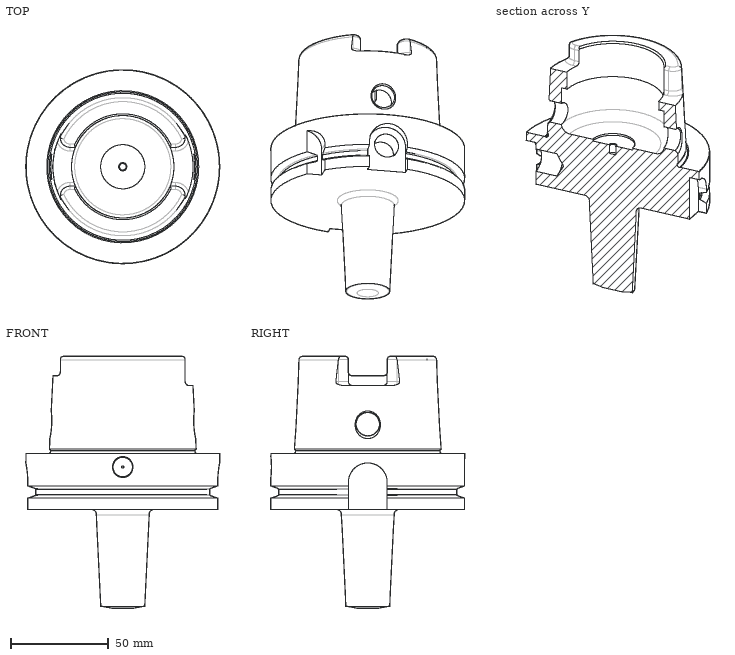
import cadquery as cq
import math


FLANGE_RADIUS = 50.0
FLANGE_THICKNESS = 29.0
FLANGE_CHAMFER = 0.2
GROOVE_RADIUS = 46.0
GROOVE_MID_Z = -20.0
GROOVE_MOUTH_WIDTH = 6.3
GROOVE_FLOOR_WIDTH = 3.4
GROOVE_FILLET = 0.7

TAPER_LENGTH = 50.0
TAPER_BASE_RADIUS = 38.0
TAPER_SLOPE = 0.05
TAPER_START_Z = 2.2
RIM_FILLET = 2.0

RELIEF_RADIUS = 37.3
RELIEF_OUTER_RADIUS = 39.2
RELIEF_DEPTH = 0.3
RELIEF_ROUND = 1.3
RELIEF_TOP_Z = 1.5

CROSS_HOLE_RADIUS = 6.0
CROSS_HOLE_Z = 15.0
CROSS_HOLE_SINK = 1.1

BORE_RADIUS = 26.4
BORE_CHAMFER = 0.9
UNDERCUT_RADIUS = 29.5
UNDERCUT_TOP_Z = 30.0
BORE_FLOOR_Z = 4.7
BORE_FLOOR_FILLET = 4.7
FLOOR_RECESS_RADIUS = 11.4
FLOOR_RECESS_DEPTH = 1.0
CENTRE_HOLE_RADIUS = 1.7
CENTRE_HOLE_CHAMFER = 0.4
CENTRE_HOLE_DEPTH = 5.0

SLOT_WIDTH = 20.0
SLOT_DEPTH_MINUS_X = 10.0
SLOT_DEPTH_PLUS_X = 15.0
SLOT_FLOOR_FILLET = 1.9
HORN_CORNER_RADIUS = 5.0
HORN_HALF_LENGTH = 32.2
HORN_TOP_FILLET = 1.7
HORN_BLANK_HEIGHT = 20.0

KEYWAY_WIDTH = 20.0
KEYWAY_FLOOR_X = 44.3
KEYWAY_CENTRE_Z = -15.0
NOTCH_FLOOR = KEYWAY_FLOOR_X / math.sqrt(2)
KEYWAY_HOLE_RADIUS = 6.3
KEYWAY_HOLE_DEPTH = 12.0
DRILL_POINT_ANGLE = 118.0

POCKET_RADIUS = 5.0
POCKET_Z = -7.1
POCKET_DEPTH = 4.6
POCKET_CHAMFER = 0.4
POCKET_PILOT_RADIUS = 0.6
POCKET_PILOT_DEPTH = 2.0

NOSE_TOP_RADIUS = 13.7
NOSE_FLARE = 2.0
NOSE_FLARE_HEIGHT = 2.8
NOSE_END_RADIUS = 11.4
NOSE_END_Z = -78.9
TIP_OUTER_RADIUS = 10.9
TIP_RADIUS = 5.5
TIP_Z = -79.9


def taper_radius(z):
    return TAPER_BASE_RADIUS - TAPER_SLOPE * z


def make_body():
    flange_bottom = -FLANGE_THICKNESS
    mouth = GROOVE_MOUTH_WIDTH / 2
    floor = GROOVE_FLOOR_WIDTH / 2
    relief_arc_x = RELIEF_RADIUS + RELIEF_ROUND
    relief_arc_z = RELIEF_ROUND - RELIEF_DEPTH
    relief_diagonal = RELIEF_ROUND * math.sin(math.pi / 4)
    flare_bottom = flange_bottom - NOSE_FLARE_HEIGHT
    profile = (
        cq.Workplane("XZ")
        .moveTo(0, TIP_Z)
        .lineTo(TIP_RADIUS, TIP_Z)
        .lineTo(TIP_OUTER_RADIUS, NOSE_END_Z)
        .lineTo(NOSE_END_RADIUS, NOSE_END_Z)
        .lineTo(NOSE_TOP_RADIUS, flare_bottom)
        .threePointArc(
            (NOSE_TOP_RADIUS + NOSE_FLARE * (1 - math.cos(math.pi / 4)),
             flare_bottom + NOSE_FLARE_HEIGHT * math.sin(math.pi / 4)),
            (NOSE_TOP_RADIUS + NOSE_FLARE, flange_bottom),
        )
        .lineTo(FLANGE_RADIUS, flange_bottom)
        .lineTo(FLANGE_RADIUS, GROOVE_MID_Z - mouth)
        .lineTo(GROOVE_RADIUS, GROOVE_MID_Z - floor)
        .lineTo(GROOVE_RADIUS, GROOVE_MID_Z + floor)
        .lineTo(FLANGE_RADIUS, GROOVE_MID_Z + mouth)
        .lineTo(FLANGE_RADIUS, -FLANGE_CHAMFER)
        .lineTo(FLANGE_RADIUS - FLANGE_CHAMFER, 0)
        .lineTo(RELIEF_OUTER_RADIUS, 0)
        .lineTo(relief_arc_x, -RELIEF_DEPTH)
        .threePointArc(
            (relief_arc_x - relief_diagonal, relief_arc_z - relief_diagonal),
            (RELIEF_RADIUS, relief_arc_z),
        )
        .lineTo(RELIEF_RADIUS, RELIEF_TOP_Z)
        .lineTo(taper_radius(TAPER_START_Z), TAPER_START_Z)
        .lineTo(taper_radius(TAPER_LENGTH), TAPER_LENGTH)
        .lineTo(0, TAPER_LENGTH)
        .close()
    )
    body = profile.revolve(360, (0, 0, 0), (0, 1, 0))
    groove_floor_edges = cq.selectors.BoxSelector(
        (-GROOVE_RADIUS - 1, -GROOVE_RADIUS - 1, GROOVE_MID_Z - floor - 0.1),
        (GROOVE_RADIUS + 1, GROOVE_RADIUS + 1, GROOVE_MID_Z + floor + 0.1),
        boundingbox=True,
    )
    return body.edges(groove_floor_edges).fillet(GROOVE_FILLET).faces(">Z").edges().fillet(RIM_FILLET)


def make_bore():
    floor_z = BORE_FLOOR_Z
    recess_z = floor_z - FLOOR_RECESS_DEPTH
    hole_z = recess_z - CENTRE_HOLE_DEPTH
    fillet_inset = BORE_FLOOR_FILLET * (1 - math.cos(math.pi / 4))
    return (
        cq.Workplane("XZ")
        .moveTo(0, hole_z)
        .lineTo(CENTRE_HOLE_RADIUS, hole_z)
        .lineTo(CENTRE_HOLE_RADIUS, recess_z - CENTRE_HOLE_CHAMFER)
        .lineTo(CENTRE_HOLE_RADIUS + CENTRE_HOLE_CHAMFER, recess_z)
        .lineTo(FLOOR_RECESS_RADIUS, recess_z)
        .lineTo(FLOOR_RECESS_RADIUS, floor_z)
        .lineTo(UNDERCUT_RADIUS - BORE_FLOOR_FILLET, floor_z)
        .threePointArc(
            (UNDERCUT_RADIUS - fillet_inset, floor_z + fillet_inset),
            (UNDERCUT_RADIUS, floor_z + BORE_FLOOR_FILLET),
        )
        .lineTo(UNDERCUT_RADIUS, UNDERCUT_TOP_Z)
        .lineTo(BORE_RADIUS, UNDERCUT_TOP_Z)
        .lineTo(BORE_RADIUS, TAPER_LENGTH - BORE_CHAMFER)
        .lineTo(BORE_RADIUS + BORE_CHAMFER, TAPER_LENGTH)
        .lineTo(0, TAPER_LENGTH)
        .close()
        .revolve(360, (0, 0, 0), (0, 1, 0))
    )


def make_horn_blank(side):
    """Round-cornered block on one Y side that bounds the horn left between the slots."""
    blank = (
        cq.Workplane("XY", origin=(0, 0, TAPER_LENGTH - HORN_BLANK_HEIGHT))
        .center(0, side * (SLOT_WIDTH + FLANGE_RADIUS) / 2)
        .rect(2 * HORN_HALF_LENGTH, FLANGE_RADIUS)
        .extrude(HORN_BLANK_HEIGHT)
        .edges("|Z")
        .fillet(HORN_CORNER_RADIUS)
    )
    return blank.faces(">Z").edges().fillet(HORN_TOP_FILLET)


def make_drive_slot(side, depth):
    """Slot on one X side: straight in the middle, opening outwards round the horn ends."""
    slot = (
        cq.Workplane("XY", origin=(side * FLANGE_RADIUS / 2, 0, TAPER_LENGTH - depth))
        .rect(FLANGE_RADIUS, FLANGE_RADIUS)
        .extrude(depth)
    )
    for horn_side in (-1, 1):
        slot = slot.cut(make_horn_blank(horn_side))
    return slot.faces("<Z").edges().fillet(SLOT_FLOOR_FILLET)


def make_keyway(centre_y, floor_x, side):
    """Round-topped slot cut along X and open at the flange's underside."""
    half = KEYWAY_WIDTH / 2
    bottom = -FLANGE_THICKNESS
    return (
        cq.Workplane("YZ", origin=(side * floor_x, 0, 0))
        .moveTo(centre_y - half, bottom)
        .lineTo(centre_y - half, KEYWAY_CENTRE_Z)
        .threePointArc((centre_y, KEYWAY_CENTRE_Z + half), (centre_y + half, KEYWAY_CENTRE_Z))
        .lineTo(centre_y + half, bottom)
        .close()
        .extrude(side * FLANGE_RADIUS)
    )


def make_keyway_hole():
    """Drilled hole with a conical end, running along +X from the -X keyway floor."""
    point_length = KEYWAY_HOLE_RADIUS / math.tan(math.radians(DRILL_POINT_ANGLE / 2))
    end_x = -KEYWAY_FLOOR_X + KEYWAY_HOLE_DEPTH
    return (
        cq.Workplane("XY", origin=(0, 0, KEYWAY_CENTRE_Z))
        .moveTo(-KEYWAY_FLOOR_X, 0)
        .lineTo(-KEYWAY_FLOOR_X, KEYWAY_HOLE_RADIUS)
        .lineTo(end_x, KEYWAY_HOLE_RADIUS)
        .lineTo(end_x + point_length, 0)
        .close()
        .revolve(360, (0, 0, 0), (1, 0, 0))
    )


def make_cross_hole():
    reach = FLANGE_RADIUS
    hole = (
        cq.Workplane("YZ", origin=(-reach, 0, CROSS_HOLE_Z))
        .circle(CROSS_HOLE_RADIUS)
        .extrude(2 * reach)
    )
    wall = taper_radius(CROSS_HOLE_Z)
    for side in (-1, 1):
        sink = (
            cq.Workplane("YZ", origin=(side * (wall - CROSS_HOLE_SINK), 0, CROSS_HOLE_Z))
            .circle(CROSS_HOLE_RADIUS)
            .workplane(offset=side * 2 * CROSS_HOLE_SINK)
            .circle(CROSS_HOLE_RADIUS + 2 * CROSS_HOLE_SINK)
            .loft()
        )
        hole = hole.union(sink)
    return hole


def make_chip_pocket():
    floor_y = -FLANGE_RADIUS + POCKET_DEPTH
    mouth = POCKET_RADIUS + POCKET_CHAMFER
    pilot_y = floor_y + POCKET_PILOT_DEPTH
    return (
        cq.Workplane("XY", origin=(0, 0, POCKET_Z))
        .moveTo(0, pilot_y)
        .lineTo(POCKET_PILOT_RADIUS, pilot_y)
        .lineTo(POCKET_PILOT_RADIUS, floor_y)
        .lineTo(POCKET_RADIUS, floor_y)
        .lineTo(POCKET_RADIUS, -FLANGE_RADIUS + 2 * POCKET_CHAMFER)
        .lineTo(mouth, -FLANGE_RADIUS)
        .lineTo(0, -FLANGE_RADIUS)
        .close()
        .revolve(360, (0, 0, 0), (0, 1, 0))
    )


result = make_body()
result = result.cut(make_drive_slot(-1, SLOT_DEPTH_MINUS_X))
result = result.cut(make_drive_slot(1, SLOT_DEPTH_PLUS_X))
result = result.cut(make_bore())
result = result.cut(make_cross_hole())
for key_side in (-1, 1):
    result = result.cut(make_keyway(0, KEYWAY_FLOOR_X, key_side))
result = result.cut(make_keyway(NOTCH_FLOOR + KEYWAY_WIDTH / 2, NOTCH_FLOOR, -1))
result = result.cut(make_keyway_hole())
result = result.cut(make_chip_pocket())